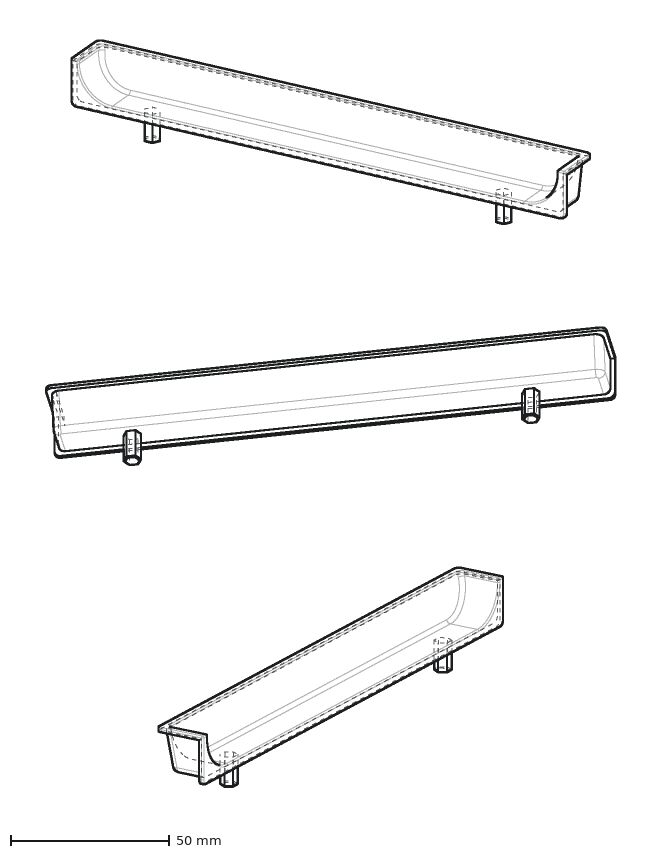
import cadquery as cq
import math

length = 180.0
depth = 17.5
front_height = 16.5
total_height = 25.0
plate = 1.5
outer_corner_radius = 2.0
edge_fillet = 0.5

end_wall = 2.9
recess_depth = 13.5
recess_end_radius = 12.0
back_margin = 2.9
back_angle = 12
back_slope = math.tan(math.radians(back_angle))
recess_back_fillet = 1.5

shell = 1.5
housing_corner_fillet = 2.7
housing_bottom_fillet = 2.2

peg_spacing = 128.0
peg_y = 6.5
peg_across_flats = 4.9
peg_chamfer = 0.4


def sloped_block(half_length, block_depth, back_y, front_y):
    """Block with vertical ends whose back face leans towards the front as it goes down."""
    return (
        cq.Workplane("YZ")
        .moveTo(front_y, 0)
        .lineTo(back_y, 0)
        .lineTo(back_y - block_depth * back_slope, -block_depth)
        .lineTo(front_y, -block_depth)
        .close()
        .extrude(half_length, both=True)
    )


def flange_and_front():
    """Top flange and front plate joined in an L, with rounded outer corners."""
    flange = (
        cq.Workplane("XY")
        .box(length, depth, plate, centered=(True, False, False))
        .translate((0, 0, -plate))
        .edges("|Z and >Y")
        .fillet(outer_corner_radius)
    )
    front = (
        cq.Workplane("XY")
        .box(length, plate, front_height, centered=(True, False, False))
        .translate((0, 0, -front_height))
        .edges("|Y and <Z")
        .fillet(outer_corner_radius)
    )
    return flange.union(front)


def housing():
    """Closed tub outside the recess, rounded along its ends, back and bottom."""
    block = sloped_block(
        length / 2 - end_wall + shell,
        recess_depth + shell,
        depth - back_margin + shell,
        plate / 2,
    )
    back_corners = block.faces(">X or <X").edges(">Y")
    rounded = back_corners.fillet(housing_corner_fillet)
    return rounded.faces("<Z").edges("not <Y").fillet(housing_bottom_fillet)


def recess():
    """Trough with large round ends and a filleted, sloping back."""
    half_length = length / 2 - end_wall
    trough = (
        cq.Workplane("XZ")
        .moveTo(-half_length, 0)
        .lineTo(-half_length, recess_end_radius - recess_depth)
        .radiusArc((recess_end_radius - half_length, -recess_depth), -recess_end_radius)
        .lineTo(half_length - recess_end_radius, -recess_depth)
        .radiusArc((half_length, recess_end_radius - recess_depth), -recess_end_radius)
        .lineTo(half_length, 0)
        .close()
        .extrude(-depth)
    )
    wedge = sloped_block(length, recess_depth, depth - back_margin, 0)
    back_face = cq.selectors.NearestToPointSelector((0, depth, -recess_depth / 2))
    return trough.intersect(wedge).faces(back_face).edges("not >Z").fillet(recess_back_fillet)


def pegs():
    """Two hexagonal pegs under the housing, corners pointing along X."""
    peg_top = recess_depth + shell / 2
    return (
        cq.Workplane("XY", origin=(0, peg_y, -total_height))
        .pushPoints([(-peg_spacing / 2, 0), (peg_spacing / 2, 0)])
        .polygon(6, peg_across_flats / math.cos(math.pi / 6))
        .extrude(total_height - peg_top)
        .faces("<Z")
        .chamfer(peg_chamfer)
    )


body = flange_and_front().union(housing()).union(pegs()).cut(recess())
result = body.faces("<Y or >Z").edges().fillet(edge_fillet)